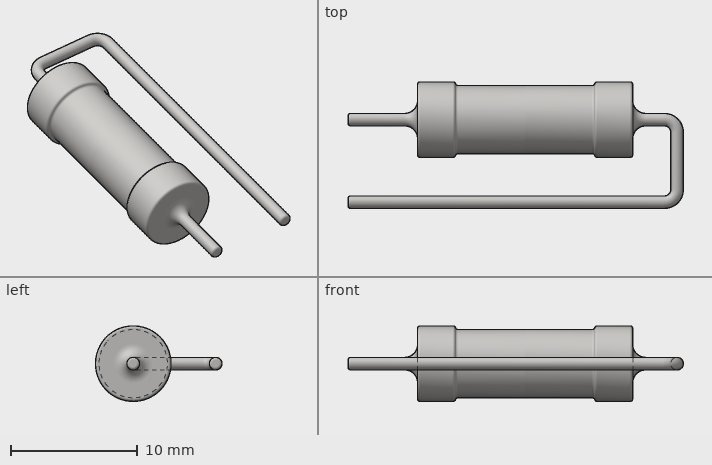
import cadquery as cq

total_length = 26.5
lead_start = -total_length / 2
lead_end = total_length / 2

wire_radius = 0.5
bend_radius = 1.0
lead_spacing = 6.52
tip_round = 0.2

body_start = lead_start + 5.49
body_length = 17.0
body_middle = body_start + body_length / 2
barrel_radius = 2.7
cap_radius = 3.0
cap_length = 2.8
cap_round = 0.2
blend_length = 0.4
flare_radius = 1.0


def body_half():
    """Revolved half of the body, from the middle plane out to the tip of the flare."""
    half_length = body_length / 2
    cap_inner = half_length - cap_length
    blend_step = blend_length / 2
    blend_rise = (cap_radius - barrel_radius) / 2
    profile = (
        cq.Workplane("XY", origin=(body_middle, 0, 0))
        .lineTo(0, barrel_radius)
        .lineTo(cap_inner - blend_length, barrel_radius)
        .tangentArcPoint((blend_step, blend_rise))
        .tangentArcPoint((blend_step, blend_rise))
        .lineTo(half_length - cap_round, cap_radius)
        .tangentArcPoint((cap_round, -cap_round))
        .lineTo(half_length, wire_radius + flare_radius)
        .radiusArc((half_length + flare_radius, wire_radius), -flare_radius)
        .lineTo(half_length + flare_radius, 0)
        .close()
    )
    return profile.revolve(360, (0, 0, 0), (1, 0, 0))


def straight_lead():
    """Wire running straight out of the body along its axis."""
    wire = cq.Workplane("YZ", origin=(lead_start, 0, 0)).circle(wire_radius).extrude(body_middle - lead_start)
    return wire.faces("<X").edges().fillet(tip_round)


def bent_lead():
    """Wire leaving the other end, turning back and running parallel to the body."""
    cross_x = lead_end - wire_radius
    path = (
        cq.Workplane("XY")
        .moveTo(body_middle, 0)
        .lineTo(cross_x - bend_radius, 0)
        .tangentArcPoint((bend_radius, -bend_radius))
        .lineTo(cross_x, bend_radius - lead_spacing)
        .tangentArcPoint((-bend_radius, -bend_radius))
        .lineTo(lead_start, -lead_spacing)
    )
    wire = cq.Workplane("YZ", origin=(body_middle, 0, 0)).circle(wire_radius).sweep(path)
    return wire.faces("<X").edges().fillet(tip_round)


right_half = body_half()
left_half = right_half.mirror("YZ", (body_middle, 0, 0))

result = right_half.union(left_half).union(straight_lead()).union(bent_lead())